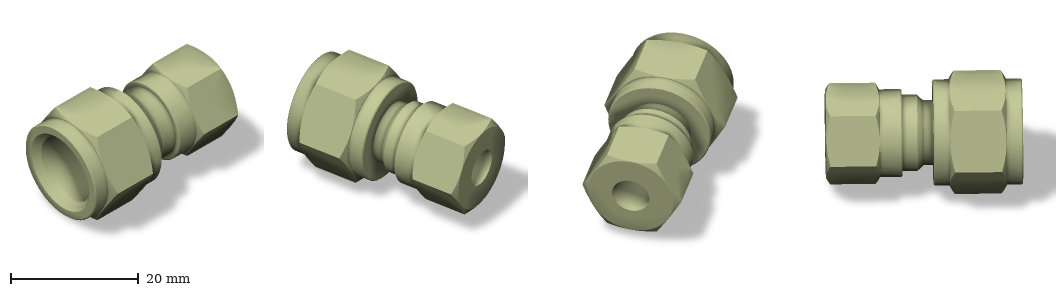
import cadquery as cq
import math

total_length = 30.82
front_nut_start = 2.55
front_nut_end = 11.45
front_collar_end = 14.0
neck_end = 15.5
shoulder_end = 16.5
rear_collar_start = 18.85
rear_nut_start = 22.38

front_collar_radius = 8.32
neck_radius = 5.1
body_radius = 5.98
rear_collar_radius = 6.87
collar_chamfer = 0.2

front_nut_flats = 17.0
rear_nut_flats = 13.93
nut_chamfer_angle = 30.0
nut_face_inset = 0.05

through_radius = 3.02
socket_radius = 5.8
mouth_radius = 6.8
mouth_depth = 1.17
socket_depth = 11.7
floor_angle = 30.0


def revolve_profile(points):
    """Revolve a closed (radius, y) outline about the Y axis."""
    return cq.Workplane("XY").polyline(points).close().revolve(360, (0, 0, 0), (0, 1, 0))


def cylinder(radius, start, end):
    """Round section along Y from start to end."""
    return revolve_profile([(0, start), (radius, start), (radius, end), (0, end)])


def hex_nut(flats, start, end):
    """Hexagonal prism along Y with conically chamfered corners at both ends."""
    corner_radius = flats / math.sqrt(3)
    face_radius = flats / 2 - nut_face_inset
    chamfer = (corner_radius - face_radius) * math.tan(math.radians(nut_chamfer_angle))
    prism = (
        cq.Workplane("XZ", origin=(0, start, 0))
        .polygon(6, 2 * corner_radius)
        .extrude(start - end)
    )
    crown = revolve_profile([
        (0, start),
        (face_radius, start),
        (corner_radius, start + chamfer),
        (corner_radius, end - chamfer),
        (face_radius, end),
        (0, end),
    ])
    return prism.intersect(crown)


def body():
    """Neck, conical shoulder and cylinder joining the two collars."""
    return revolve_profile([
        (0, front_nut_end),
        (neck_radius, front_nut_end),
        (neck_radius, neck_end),
        (body_radius, shoulder_end),
        (body_radius, rear_nut_start),
        (0, rear_nut_start),
    ])


def bore():
    """Flared socket, conical floor and through hole as one solid to remove."""
    floor_depth = (socket_radius - through_radius) * math.tan(math.radians(floor_angle))
    return revolve_profile([
        (0, 0),
        (mouth_radius, 0),
        (socket_radius, mouth_depth),
        (socket_radius, socket_depth),
        (through_radius, socket_depth + floor_depth),
        (through_radius, total_length),
        (0, total_length),
    ])


front_collar = cylinder(front_collar_radius, 0, front_collar_end).faces("<Y or >Y").chamfer(collar_chamfer)
rear_collar = (
    cylinder(rear_collar_radius, rear_collar_start, total_length)
    .faces("<Y")
    .chamfer(collar_chamfer)
)

result = (
    body()
    .union(front_collar)
    .union(hex_nut(front_nut_flats, front_nut_start, front_nut_end))
    .union(rear_collar)
    .union(hex_nut(rear_nut_flats, rear_nut_start, total_length))
    .cut(bore())
)